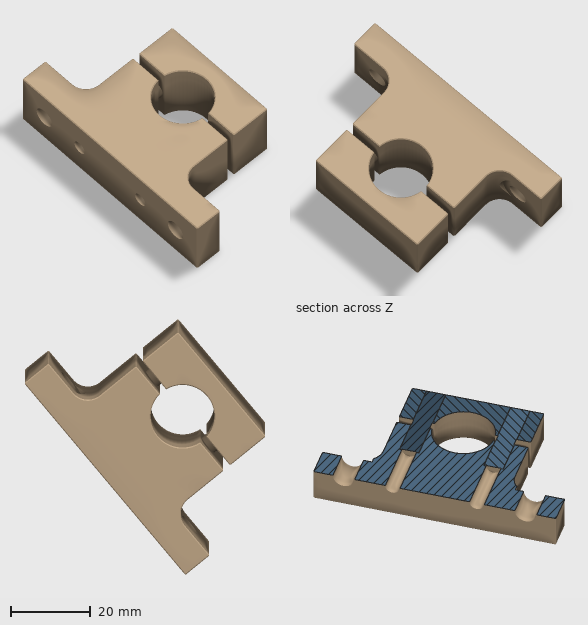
import cadquery as cq


length = 63.5
height = 38.1
thickness = 17.45

flange_thickness = 7.95
block_width = 34.55
fillet_radius = 4.75
gap_start = 24.45
gap_width = 2.05
edge_chamfer = 0.25

bore_diameter = 16.0
bore_center_y = 25.3

mount_spacing = 47.6
mount_diameter = 5.6
spot_face_diameter = 10.05

screw_spacing = 22.05
screw_diameter = 4.9
screw_pilot_diameter = 3.75
screw_engagement = 2 * screw_diameter

half_length = length / 2
half_block = block_width / 2
cap_start = gap_start + gap_width
cap_depth = height - cap_start
screw_tip_y = gap_start - screw_engagement
screw_positions = (-screw_spacing / 2, screw_spacing / 2)
mount_positions = (-mount_spacing / 2, mount_spacing / 2)


def cylinder_along_y(x, start_y, end_y, diameter):
    """Round bar on the mid-thickness plane, from start_y to end_y."""
    start = cq.Vector(x, start_y, 0)
    solid = cq.Solid.makeCylinder(diameter / 2, end_y - start_y, start, cq.Vector(0, 1, 0))
    return cq.Workplane(obj=solid)


def cut_bore(body):
    """Cut the shaft bore and break its rims on both flat sides."""
    bore = (
        cq.Workplane("XY", origin=(0, bore_center_y, -thickness / 2))
        .circle(bore_diameter / 2)
        .extrude(thickness)
        .union(bore_rim(1))
        .union(bore_rim(-1))
    )
    return body.cut(bore)


def bore_rim(side):
    """Cone that chamfers the bore rim on the +Z (1) or -Z (-1) side."""
    radius = bore_diameter / 2
    start = cq.Vector(0, bore_center_y, side * thickness / 2)
    cone = cq.Solid.makeCone(
        radius + edge_chamfer, radius, edge_chamfer, start, cq.Vector(0, 0, -side)
    )
    return cq.Workplane(obj=cone)


def make_base():
    """Flanged lower half, with its bore, mounting holes and screw holes."""
    fillet_start_x = half_block + fillet_radius
    fillet_end_y = flange_thickness + fillet_radius
    body = (
        cq.Workplane("XY", origin=(0, 0, -thickness / 2))
        .moveTo(-half_length, 0)
        .lineTo(half_length, 0)
        .lineTo(half_length, flange_thickness)
        .lineTo(fillet_start_x, flange_thickness)
        .radiusArc((half_block, fillet_end_y), fillet_radius)
        .lineTo(half_block, gap_start)
        .lineTo(-half_block, gap_start)
        .lineTo(-half_block, fillet_end_y)
        .radiusArc((-fillet_start_x, flange_thickness), fillet_radius)
        .lineTo(-half_length, flange_thickness)
        .close()
        .extrude(thickness)
    )
    outer_corners = body.edges("|Z and (<X or >X)").add(body.faces(">Y").edges("|Z"))
    rims = body.faces("<Z or >Z").edges()
    body = outer_corners.add(rims).chamfer(edge_chamfer)
    body = cut_bore(body)

    for x in mount_positions:
        body = body.cut(cylinder_along_y(x, 0, flange_thickness, mount_diameter))
        body = body.cut(cylinder_along_y(x, flange_thickness, gap_start, spot_face_diameter))

    for x in screw_positions:
        body = body.cut(cylinder_along_y(x, 0, screw_tip_y, screw_pilot_diameter))
        body = body.cut(cylinder_along_y(x, screw_tip_y, gap_start, screw_diameter))
    return body


def make_cap():
    """Upper half, with its share of the bore and through holes for the screws."""
    body = (
        cq.Workplane("XY")
        .box(block_width, cap_depth, thickness)
        .translate((0, cap_start + cap_depth / 2, 0))
        .edges()
        .chamfer(edge_chamfer)
    )
    body = cut_bore(body)
    for x in screw_positions:
        body = body.cut(cylinder_along_y(x, cap_start, height, screw_diameter))
    return body


def make_screw(x):
    """Headless clamping screw, flush with the outer face of the cap."""
    return cylinder_along_y(x, screw_tip_y, height, screw_diameter)


base = make_base()
cap = make_cap()
screws = [make_screw(x).val() for x in screw_positions]

result = cq.Compound.makeCompound([base.val(), cap.val(), *screws])